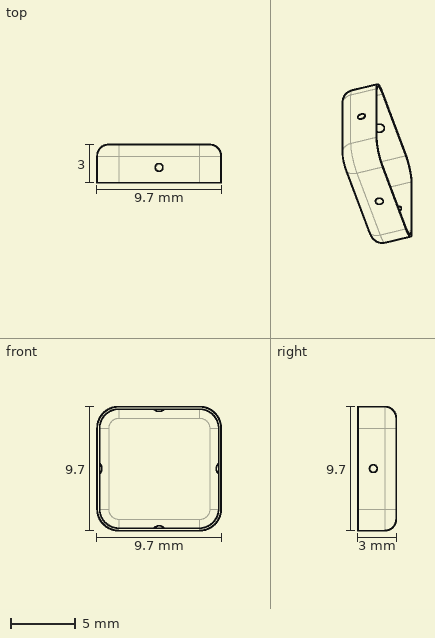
import cadquery as cq

side = 9.7
depth = 3.0
wall = 0.2
corner_radius = 1.7
edge_radius = 0.9

dimple_radius = 0.3
dimple_depth = 0.18
dome_radius = 0.4
dome_height = 0.18
dimple_from_rim = 1.2


def rounded_block(width, length, vertical_radius, back_radius):
    """Square block from the rim plane Y = 0 to Y = length, rounded at the back."""
    block = cq.Workplane("XZ").rect(width, width).extrude(-length)
    return block.edges("|Y").fillet(vertical_radius).faces(">Y").edges().fillet(back_radius)


def spherical_cap(base_radius, height, base_offset):
    """Cap on the +X side wall, its flat base at X = base_offset, bulging towards -X."""
    sphere_radius = (base_radius**2 + height**2) / (2 * height)
    centre = base_offset - height + sphere_radius
    sphere = cq.Workplane("XY").sphere(sphere_radius).translate((centre, dimple_from_rim, 0))
    keep = cq.Workplane("XY").box(2 * height, side, side, centered=(False, True, True))
    return sphere.intersect(keep.translate((base_offset - 2 * height, 0, 0)))


def on_four_walls(tool):
    """Copies of a side-wall tool on all four walls."""
    return [tool.rotate((0, 0, 0), (0, 1, 0), 90 * i) for i in range(4)]


outer = rounded_block(side, depth, corner_radius, edge_radius)
cavity = rounded_block(side - 2 * wall, depth - wall, corner_radius - wall, edge_radius - wall)
result = outer.cut(cavity)

inner_face = side / 2 - wall
for dome in on_four_walls(spherical_cap(dome_radius, dome_height, inner_face)):
    result = result.union(dome)

for dimple in on_four_walls(spherical_cap(dimple_radius, dimple_depth, side / 2)):
    result = result.cut(dimple)